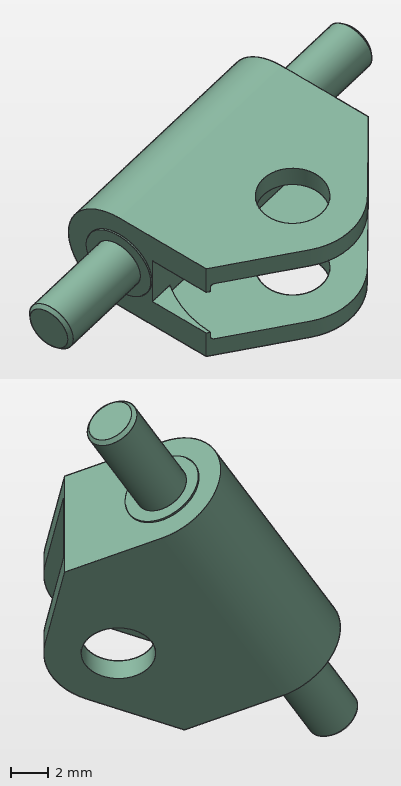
import cadquery as cq
import math

pin_length = 26.2
pin_radius = 1.5
pin_chamfer = 0.2
sleeve_radius = 2.2
sleeve_projection = 0.1

body_length = 13.75
body_height = 7.0
body_radius = body_height / 2
body_width = 14.0
half_width = body_width / 2
shoulder_x = 5.9
lug_hole_x = 6.25
lug_hole_radius = 2.0
lug_tip_radius = body_length - body_radius - lug_hole_x

gap_height = 4.4
gap_radius = 6.8
gap_fillet = 0.2
cavity_start_x = 2.23
channel_end_radius = gap_height / 2
channel_end_y = 6.42
window_height = 3.25


def box_between(x_range, y_range, height):
    """Box spanning the given X and Y ranges, centred on Z = 0."""
    x_size = x_range[1] - x_range[0]
    y_size = y_range[1] - y_range[0]
    return (
        cq.Workplane("XY")
        .box(x_size, y_size, height)
        .translate((sum(x_range) / 2, sum(y_range) / 2, 0))
    )


def cylinder_along_y(radius, length):
    return cq.Workplane("XZ").circle(radius).extrude(length / 2, both=True)


def make_body():
    """Barrel and solid lug block; the taper lines are tangent to the lug tip."""
    corner_distance = math.hypot(shoulder_x - lug_hole_x, half_width)
    corner_angle = math.atan2(half_width, shoulder_x - lug_hole_x)
    tangent_angle = corner_angle - math.acos(lug_tip_radius / corner_distance)
    tangent_x = lug_hole_x + lug_tip_radius * math.cos(tangent_angle)
    tangent_y = lug_tip_radius * math.sin(tangent_angle)
    lugs = (
        cq.Workplane("XY")
        .moveTo(0, -half_width)
        .lineTo(shoulder_x, -half_width)
        .lineTo(tangent_x, -tangent_y)
        .threePointArc((lug_hole_x + lug_tip_radius, 0), (tangent_x, tangent_y))
        .lineTo(shoulder_x, half_width)
        .lineTo(0, half_width)
        .close()
        .extrude(body_radius, both=True)
    )
    return lugs.union(cylinder_along_y(body_radius, body_width))


def make_gap():
    """Disc-shaped clearance around the lug hole, cut off flat beside the sleeve."""
    disc = (
        cq.Workplane("XY")
        .center(lug_hole_x, 0)
        .circle(gap_radius)
        .extrude(gap_height / 2, both=True)
        .edges()
        .fillet(gap_fillet)
    )
    limits = box_between((cavity_start_x, lug_hole_x + gap_radius), (-gap_radius, gap_radius), gap_height)
    return disc.intersect(limits)


def make_channel():
    """Channel with a round far end, inside the gap."""
    end_axis_y = channel_end_y - channel_end_radius
    x_range = (cavity_start_x, lug_hole_x)
    round_end = (
        cq.Workplane("YZ", origin=(cavity_start_x, 0, 0))
        .center(end_axis_y, 0)
        .circle(channel_end_radius)
        .extrude(lug_hole_x - cavity_start_x)
    )
    return round_end.union(box_between(x_range, (0, end_axis_y), gap_height))


def make_window():
    """Opening from the -Y side of the body into the gap."""
    return box_between((cavity_start_x, lug_hole_x), (-half_width, 0), window_height)


def make_pin():
    pin = cylinder_along_y(pin_radius, pin_length).edges().chamfer(pin_chamfer)
    return pin.union(cylinder_along_y(sleeve_radius, body_width + 2 * sleeve_projection))


lug_hole = cq.Workplane("XY").center(lug_hole_x, 0).circle(lug_hole_radius).extrude(body_radius, both=True)

result = make_body().cut(make_gap()).cut(make_channel()).cut(make_window()).cut(lug_hole).union(make_pin())